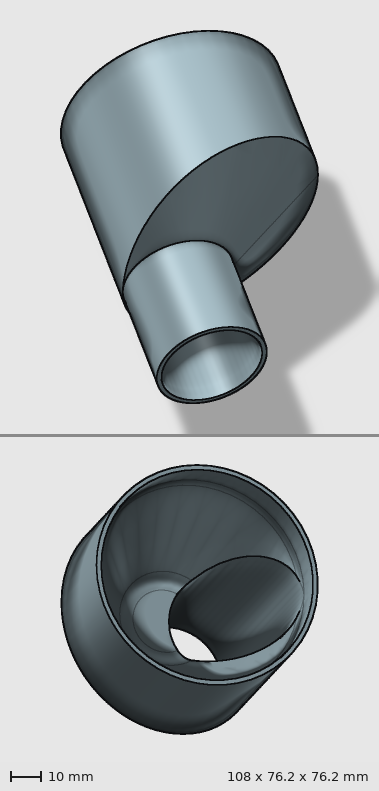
import cadquery as cq
import math

LARGE_DIAMETER = 76.2
SMALL_DIAMETER = 38.1
WALL = 1.65
LENGTH = 107.95
SMALL_TUBE_LENGTH = 38.1
SLOPE_START = 41.4

MOUTH_BORE_DEPTH = 12.7
CAVITY_DEPTH = 50.8
CAVITY_TAPER = 30.0
BLEND_RADIUS = 6.35

large_radius = LARGE_DIAMETER / 2
small_radius = SMALL_DIAMETER / 2
large_bore_radius = large_radius - WALL
small_bore_radius = small_radius - WALL
shoulder_x = LENGTH - SMALL_TUBE_LENGTH
small_axis_y = small_radius - large_radius

taper_length = CAVITY_DEPTH - MOUTH_BORE_DEPTH
floor_radius = large_bore_radius - taper_length * math.tan(math.radians(CAVITY_TAPER))


def rod(radius, start_x, end_x, axis_y):
    """Solid cylinder along X."""
    return (
        cq.Workplane("YZ", origin=(start_x, axis_y, 0))
        .circle(radius)
        .extrude(end_x - start_x)
    )


def revolve_about_x(points):
    """Solid of revolution about X from a closed outline of (x, radius) points."""
    return cq.Workplane("XY").polyline(points).close().revolve(360, (0, 0), (1, 0))


def shoulder_cone():
    """Cone about the small tube's axis, from the mouth plane to the shoulder."""
    slope_radius = large_radius - small_axis_y
    spread = (slope_radius - small_radius) / (shoulder_x - SLOPE_START)
    mouth_radius = small_radius + spread * shoulder_x
    cone = revolve_about_x([
        (0, 0),
        (0, mouth_radius),
        (shoulder_x, small_radius),
        (shoulder_x, 0),
    ])
    return cone.translate((0, small_axis_y, 0))


def cavity():
    """Straight bore, taper and flat floor, blended where they meet."""
    blank = revolve_about_x([
        (0, 0),
        (0, large_bore_radius),
        (MOUTH_BORE_DEPTH, large_bore_radius),
        (CAVITY_DEPTH, floor_radius),
        (CAVITY_DEPTH, 0),
    ])
    return blank.faces("%CONE").edges("%CIRCLE").fillet(BLEND_RADIUS)


large_body = rod(large_radius, 0, shoulder_x, 0).intersect(shoulder_cone())
small_tube = rod(small_radius, shoulder_x, LENGTH, small_axis_y)
through_bore = rod(small_bore_radius, 0, LENGTH, small_axis_y)

result = large_body.union(small_tube).cut(cavity()).cut(through_bore)